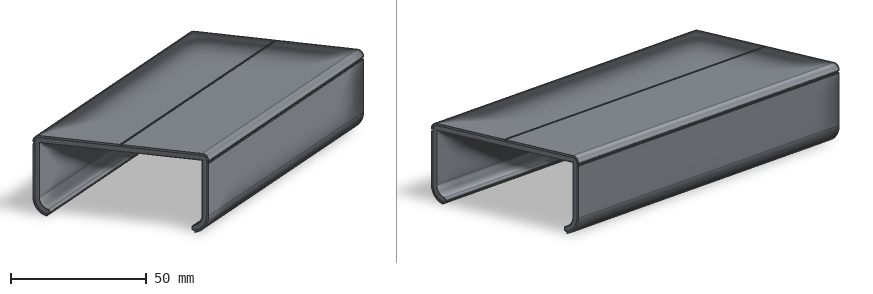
import cadquery as cq
import math

width = 70.0
length = 152.4
height = 30.5

skin_thickness = 0.8
core_thickness = 1.8

corner_radius = 2.6
hook_radius = 7.0
hook_angle = 77.0

top_gap = 0.6
side_gap = 0.9

half_width = width / 2
hook_center_x = half_width - hook_radius
hook_center_z = hook_radius * math.sin(math.radians(hook_angle))
core_half_width = half_width - skin_thickness
core_top = height - skin_thickness
core_corner_radius = corner_radius - skin_thickness
core_outer_hook_radius = hook_radius - skin_thickness
core_inner_hook_radius = core_outer_hook_radius - core_thickness


def hook_point(radius, angle):
    """Point on the right-hand hook, with the angle measured down from horizontal."""
    turn = math.radians(angle)
    return (hook_center_x + radius * math.cos(turn), hook_center_z - radius * math.sin(turn))


def corner_point(radius):
    """Middle of the right-hand top corner arc of the given radius."""
    offset = radius * math.sqrt(0.5)
    return (half_width - corner_radius + offset, height - corner_radius + offset)


def extrude_profile(profile):
    """Extrude a closed XZ profile along the full rail, centred on Y."""
    return profile.close().extrude(length / 2, both=True)


def mirror_x(body):
    return body.mirror("YZ")


def make_core():
    """Channel with sharp inner corners and inward hooks ending in round tips."""
    middle_radius = (core_outer_hook_radius + core_inner_hook_radius) / 2
    end_x, end_z = hook_point(middle_radius, hook_angle)
    turn = math.radians(hook_angle)
    tip_radius = core_thickness / 2
    tip = (end_x - tip_radius * math.sin(turn), end_z - tip_radius * math.cos(turn))
    half_profile = (
        cq.Workplane("XZ")
        .moveTo(0, core_top)
        .lineTo(half_width - corner_radius, core_top)
        .threePointArc(corner_point(core_corner_radius), (core_half_width, height - corner_radius))
        .lineTo(core_half_width, hook_center_z)
        .threePointArc(
            hook_point(core_outer_hook_radius, hook_angle / 2),
            hook_point(core_outer_hook_radius, hook_angle),
        )
        .threePointArc(tip, hook_point(core_inner_hook_radius, hook_angle))
        .threePointArc(
            hook_point(core_inner_hook_radius, hook_angle / 2),
            hook_point(core_inner_hook_radius, 0),
        )
        .lineTo(core_half_width - core_thickness, core_top - core_thickness)
        .lineTo(0, core_top - core_thickness)
    )
    half_core = extrude_profile(half_profile)
    return half_core.union(mirror_x(half_core)).clean()


def make_top_skin():
    """Right-hand top skin, from the centre gap around the corner to the side gap."""
    profile = (
        cq.Workplane("XZ")
        .moveTo(top_gap / 2, height)
        .lineTo(half_width - corner_radius, height)
        .threePointArc(corner_point(corner_radius), (half_width, height - corner_radius))
        .lineTo(core_half_width, height - corner_radius)
        .threePointArc(corner_point(core_corner_radius), (half_width - corner_radius, core_top))
        .lineTo(top_gap / 2, core_top)
    )
    return extrude_profile(profile)


def make_side_skin():
    """Right-hand side skin, from the side gap down around the outside of the hook."""
    upper_edge = height - corner_radius - side_gap
    profile = (
        cq.Workplane("XZ")
        .moveTo(core_half_width, upper_edge)
        .lineTo(half_width, upper_edge)
        .lineTo(half_width, hook_center_z)
        .threePointArc(hook_point(hook_radius, hook_angle / 2), hook_point(hook_radius, hook_angle))
        .lineTo(*hook_point(core_outer_hook_radius, hook_angle))
        .threePointArc(
            hook_point(core_outer_hook_radius, hook_angle / 2),
            hook_point(core_outer_hook_radius, 0),
        )
    )
    return extrude_profile(profile)


core = make_core()
skins = []
for right_skin in (make_top_skin(), make_side_skin()):
    skins.append(right_skin.val())
    skins.append(mirror_x(right_skin).val())

result = cq.Compound.makeCompound([core.val(), *skins])